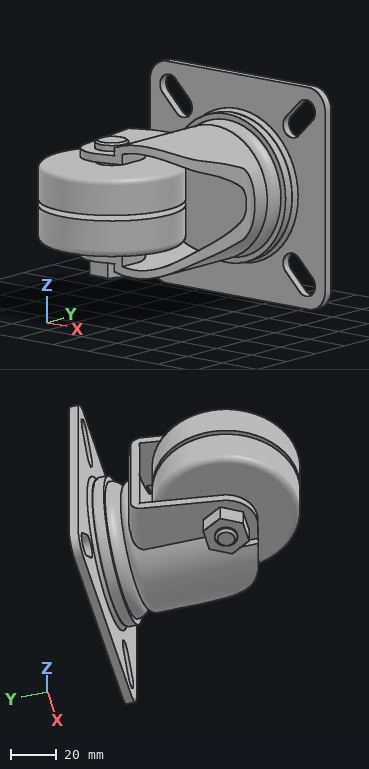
import cadquery as cq
import math


overall_length = 104.5
overall_depth = 96.5

plate_side = 100.0
plate_thickness = 4.2
plate_corner_radius = 9.5
slot_width = 10.2
slot_outer_offset = 39.1
slot_inner_offset = 31.1
plate_slope_top_radius = 34.6
plate_slope_end_radius = 32.7

ring_radius = 33.4
ring_top_y = -6.0
ring_bottom_y = -11.4
ring_edge_round = 1.6
bearing_radius = 30.8
bearing_round = 5.6
fork_top_y = -17.1

wall = 3.8
shell_radius = 30.0
shell_round = 4.2
shell_cavity_top_y = -26.3
bracket_half_width = 24.3
bracket_roof_radius = 42.8
bracket_roof_round = 4.6
toe_radius = 13.9
back_lean = 7.8
front_lean = 14.0
notch_x = 25.9
notch_y = -28.3
notch_round = 4.2
knee_round = 27.7
axle_recess_radius = 11.1

wheel_radius = 32.5
wheel_outer_z = 17.9
wheel_gap = 2.5
wheel_edge_round = 3.0
sleeve_radius = 7.0
sleeve_half_length = 19.5
bolt_radius = 5.0
bolt_end_z = -34.2
bolt_end_chamfer = 1.3
bolt_head_radius = 7.4
bolt_head_height = 3.6
bolt_head_chamfer = 0.9
nut_across_corners = 20.9
nut_height = 7.8

axle_x = plate_side / 2 + wheel_radius - overall_length
axle_y = wheel_radius - overall_depth
bracket_inner_half_width = bracket_half_width - wall
shell_cavity_radius = shell_radius - wall
fork_reach = 2 * shell_radius


def axle_plane(z):
    """Workplane across the axle at height z, centred on the axle."""
    return cq.Workplane("XY", origin=(axle_x, axle_y, z))


def axle_cylinder(radius, z_low, z_high):
    return axle_plane(z_low).circle(radius).extrude(z_high - z_low)


def y_cylinder(radius, y_high, y_low):
    """Cylinder about the swivel axis."""
    return cq.Workplane("XZ", origin=(0, y_high, 0)).circle(radius).extrude(y_high - y_low)


def mounting_plate():
    plate = (
        cq.Workplane("XZ")
        .rect(plate_side, plate_side)
        .extrude(plate_thickness)
        .edges("|Y")
        .fillet(plate_corner_radius)
    )
    slot_middle = (slot_outer_offset + slot_inner_offset) / 2
    slot_length = math.sqrt(2) * (slot_outer_offset - slot_inner_offset) + slot_width
    for side_x in (-1, 1):
        for side_z in (-1, 1):
            slot = (
                cq.Workplane("XZ")
                .center(side_x * slot_middle, side_z * slot_middle)
                .slot2D(slot_length, slot_width, 45 * side_x * side_z)
                .extrude(plate_thickness)
            )
            plate = plate.cut(slot)
    slope = (
        cq.Workplane("XY")
        .moveTo(0, -plate_thickness)
        .lineTo(plate_slope_top_radius, -plate_thickness)
        .lineTo(plate_slope_end_radius, ring_top_y)
        .lineTo(0, ring_top_y)
        .close()
        .revolve(360, (0, 0), (0, 1))
    )
    return plate.union(slope)


def swivel_bearing():
    ring = y_cylinder(ring_radius, ring_top_y, ring_bottom_y).edges(">Y").fillet(ring_edge_round)
    bearing = y_cylinder(bearing_radius, ring_bottom_y, fork_top_y).edges("<Y").fillet(bearing_round)
    return ring.union(bearing)


def toe_point(angle):
    """Point on the rounded toe around the axle, at an angle in degrees."""
    turn = math.radians(angle)
    return axle_x + toe_radius * math.cos(turn), axle_y + toe_radius * math.sin(turn)


def fork_outline():
    """Side outline of the fork, extruded across its full width."""
    back_angle = 180 + back_lean
    bottom_angle = 270 + front_lean
    back_x, back_y = toe_point(back_angle)
    bottom_x, bottom_y = toe_point(bottom_angle)
    back_top_x = back_x - (fork_top_y - back_y) * math.tan(math.radians(back_lean))

    lean = math.radians(front_lean)
    run_x = notch_x - bottom_x
    run_y = notch_y - bottom_y
    bottom_length = (run_x * math.cos(lean) - run_y * math.sin(lean)) / math.cos(2 * lean)
    knee = (bottom_x + bottom_length * math.cos(lean), bottom_y + bottom_length * math.sin(lean))

    blank = (
        cq.Workplane("XY", origin=(0, 0, -shell_radius))
        .moveTo(back_top_x, fork_top_y)
        .lineTo(back_x, back_y)
        .threePointArc(toe_point((back_angle + bottom_angle) / 2), (bottom_x, bottom_y))
        .lineTo(*knee)
        .lineTo(notch_x, notch_y)
        .lineTo(fork_reach, notch_y)
        .lineTo(fork_reach, fork_top_y)
        .close()
        .extrude(2 * shell_radius)
    )
    knee_edge = cq.selectors.NearestToPointSelector((*knee, 0))
    notch_edge = cq.selectors.NearestToPointSelector((notch_x, notch_y, 0))
    return blank.edges(knee_edge).fillet(knee_round).edges(notch_edge).fillet(notch_round)


def axle_block(radius, z_low, z_high):
    """Round-topped block about the axle that runs straight out towards -Y."""
    thickness = z_high - z_low
    leg = (
        axle_plane(z_low)
        .center(0, -wheel_radius / 2)
        .rect(2 * radius, wheel_radius)
        .extrude(thickness)
    )
    return axle_cylinder(radius, z_low, z_high).union(leg)


def left_of(disc, x_limit):
    """The share of a disc about the axle that lies on the -X side of x_limit."""
    side = (
        cq.Workplane("XY", origin=(x_limit - fork_reach / 2, axle_y, 0))
        .box(fork_reach, 2 * bracket_roof_radius, 2 * bracket_half_width)
    )
    return disc.intersect(side)


def fork():
    fork_bottom_y = axle_y - toe_radius

    shell = y_cylinder(shell_radius, fork_top_y, fork_bottom_y).edges(">Y").fillet(shell_round)
    shell = shell.cut(y_cylinder(shell_cavity_radius, shell_cavity_top_y, fork_bottom_y))

    bracket_end_x = -math.sqrt(shell_cavity_radius**2 - bracket_inner_half_width**2)
    bracket_disc = (
        axle_cylinder(bracket_roof_radius, -bracket_half_width, bracket_half_width)
        .edges("%CIRCLE")
        .fillet(bracket_roof_round)
    )
    body = shell.union(left_of(bracket_disc, bracket_end_x))

    pad_radius = axle_recess_radius + wall
    shell_space = y_cylinder(shell_radius, axle_y + pad_radius, fork_bottom_y)
    pad = axle_block(pad_radius, bracket_inner_half_width, shell_cavity_radius).intersect(shell_space)
    recess = axle_block(axle_recess_radius, bracket_half_width, shell_radius)
    body = body.union(pad).union(pad.mirror("XY"))
    body = body.cut(recess).cut(recess.mirror("XY"))

    wheel_space = axle_cylinder(
        bracket_roof_radius - wall, -bracket_inner_half_width, bracket_inner_half_width
    )
    return body.cut(left_of(wheel_space, 0)).intersect(fork_outline())


def wheels():
    inner_z = wheel_gap / 2
    upper = axle_cylinder(wheel_radius, inner_z, wheel_outer_z).edges(">Z").fillet(wheel_edge_round)
    lower = upper.mirror("XY")
    sleeve = axle_cylinder(sleeve_radius, -sleeve_half_length, sleeve_half_length)
    return sleeve.union(upper).union(lower)


def bolt_and_nut():
    head_top_z = bracket_half_width + bolt_head_height
    shank = (
        axle_cylinder(bolt_radius, bolt_end_z, bracket_half_width)
        .edges("<Z")
        .chamfer(bolt_end_chamfer)
    )
    head = (
        axle_cylinder(bolt_head_radius, bracket_half_width, head_top_z)
        .edges(">Z")
        .chamfer(bolt_head_chamfer)
    )
    nut = axle_plane(-bracket_half_width).polygon(6, nut_across_corners).extrude(-nut_height)
    return shank.union(head).union(nut)


result = (
    mounting_plate()
    .union(swivel_bearing())
    .union(fork())
    .union(wheels())
    .union(bolt_and_nut())
)